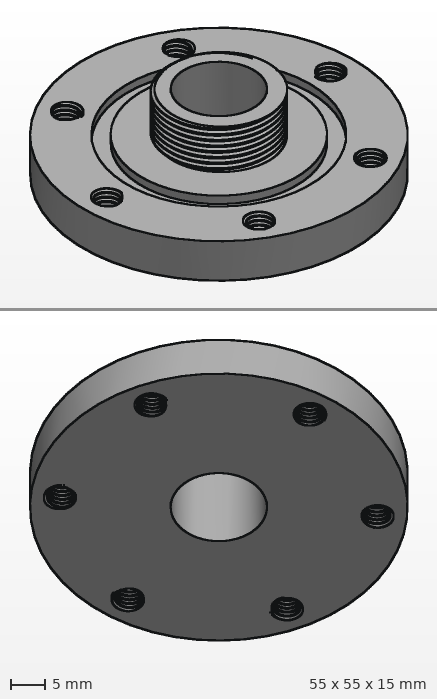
import cadquery as cq
flange_diameter = 55
flange_thickness = 7.0
bore_diameter = 14.0

groove_outer_diameter = 37.1
groove_inner_diameter = 31.5
groove_depth = 1.5

overall_height = 15.0
neck_height = overall_height - flange_thickness
neck_major_diameter = 19.9
neck_minor_diameter = 18.75
neck_turns = 8
neck_pitch = neck_height / neck_turns
neck_crest_width = neck_pitch / 8
neck_root_width = neck_pitch / 4
neck_groove_angle = -120

hole_count = 6
hole_circle_diameter = 46.0
hole_major_diameter = 5.1
hole_minor_diameter = 4.25
hole_turns = 8.75
hole_pitch = flange_thickness / hole_turns
hole_crest_width = hole_pitch / 4
hole_root_width = hole_pitch / 8
hole_groove_angle = -10

lead_in = 1.1
overlap = 0.1

z_axis = ((0, 0, 0), (0, 0, 1))


def ring(outer_diameter, inner_diameter, height, base_z):
    outline = cq.Workplane("XY", origin=(0, 0, base_z))
    return outline.circle(outer_diameter / 2).circle(inner_diameter / 2).extrude(height)


def helical_cutter(pitch, length, angle, inner_side, outer_side):
    """Right-hand trapezoidal coil that runs past z = 0 and z = length and crosses z = 0 at the angle.

    Each side of the section is given as (radius, width).
    """
    turns = length / pitch + 2 * lead_in
    inner_radius, inner_width = inner_side
    outer_radius, outer_width = outer_side
    section = [
        (inner_radius, -inner_width / 2),
        (outer_radius, -outer_width / 2),
        (outer_radius, outer_width / 2),
        (inner_radius, inner_width / 2),
    ]
    edges = [
        cq.Wire.makeHelix(pitch, pitch * turns, radius).translate(cq.Vector(0, 0, z)).Edges()[0]
        for radius, z in section
    ]
    sides = [cq.Face.makeRuledSurface(edges[i - 1], edges[i]) for i in range(len(edges))]
    corners = [cq.Vector(radius, 0, z) for radius, z in section]
    start = cq.Face.makeFromWires(cq.Wire.makePolygon(corners, close=True))
    end = start.rotate(*z_axis, 360 * turns)
    end = end.translate(cq.Vector(0, 0, pitch * turns))
    coil = cq.Workplane(obj=cq.Solid.makeSolid(cq.Shell.makeShell(sides + [start, end])))
    coil = coil.rotate(*z_axis, angle - 360 * lead_in)
    return coil.translate((0, 0, -pitch * lead_in))


def threaded_neck():
    root_radius = neck_minor_diameter / 2
    crest_radius = neck_major_diameter / 2
    flank_slope = (neck_pitch - neck_crest_width - neck_root_width) / (crest_radius - root_radius)
    reach = neck_crest_width / flank_slope / 2
    cutter = helical_cutter(
        neck_pitch,
        neck_height,
        neck_groove_angle,
        (root_radius, neck_root_width),
        (crest_radius + reach, neck_pitch - neck_crest_width + flank_slope * reach),
    ).translate((0, 0, flange_thickness))
    neck = ring(neck_major_diameter, bore_diameter, neck_height, flange_thickness)
    return neck.cut(cutter)


def tap():
    """Negative of one tapped hole: core plus thread ridge, flush with both flange faces."""
    core_radius = hole_minor_diameter / 2
    root_radius = hole_major_diameter / 2
    flank_slope = (hole_pitch - hole_crest_width - hole_root_width) / (root_radius - core_radius)
    coil = helical_cutter(
        hole_pitch,
        flange_thickness,
        hole_groove_angle,
        (core_radius - overlap, hole_pitch - hole_crest_width + flank_slope * overlap),
        (root_radius, hole_root_width),
    )
    blank = cq.Workplane("XY").circle(hole_major_diameter).extrude(flange_thickness)
    core = cq.Workplane("XY").circle(core_radius).extrude(flange_thickness)
    return core.union(coil.intersect(blank))


def flange():
    body = ring(flange_diameter, bore_diameter, flange_thickness, 0)
    groove_floor = flange_thickness - groove_depth
    body = body.cut(ring(groove_outer_diameter, groove_inner_diameter, groove_depth, groove_floor))
    first_tap = tap().translate((hole_circle_diameter / 2, 0, 0))
    for index in range(hole_count):
        angle = index * 360 / hole_count
        body = body.cut(first_tap.rotate(*z_axis, angle))
    return body


result = flange().union(threaded_neck())